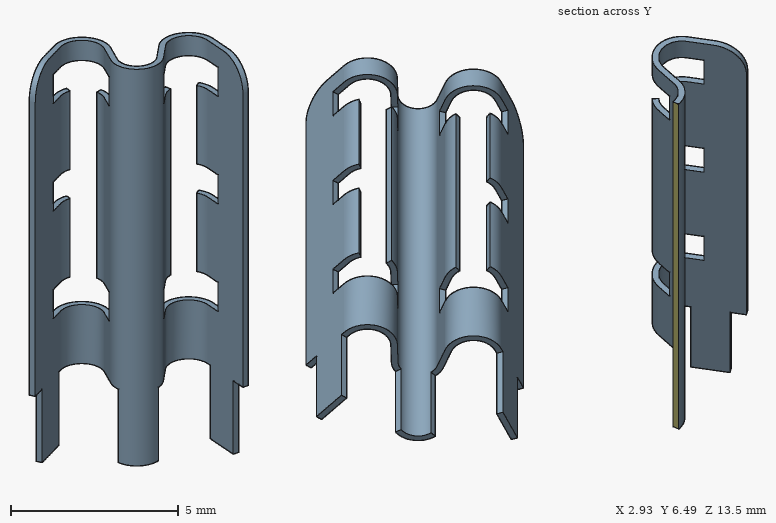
import cadquery as cq
import math

thickness = 0.2
leg_length = 1.82
link_length = 0.74
loop_radius = 0.8
middle_radius = 0.7
first_leg_heading = 140.0
loop_angle = 140.0
middle_angle = 160.0

height = 13.5
foot_height = 2.5
window_base = 4.51
slot_height = 0.99
tab_height = 2.67

foot_width = 1.2
foot_inset = 0.5
narrow_width = 0.97
slot_overhang = 0.53
corner_radius = 1.0

cutter_thickness = 2 * thickness


def arc_length(radius, angle):
    return radius * math.radians(angle)


loop_length = arc_length(loop_radius, loop_angle)
middle_length = arc_length(middle_radius, middle_angle)
slot_width = loop_length + 2 * slot_overhang

sections = [
    (leg_length, 0.0),
    (loop_length, -loop_angle),
    (link_length, 0.0),
    (middle_length, middle_angle),
    (link_length, 0.0),
    (loop_length, -loop_angle),
    (leg_length, 0.0),
]
section_ends = [sum(length for length, _ in sections[:n + 1]) for n in range(len(sections))]
strip_length = section_ends[-1]

first_loop_center = leg_length + loop_length / 2
middle_center = strip_length / 2
last_loop_center = strip_length - first_loop_center


def sheet_point(distance, offset):
    """XY point at a distance along the strip, offset to the left of its middle surface."""
    x, y = 0.0, 0.0
    heading = math.radians(first_leg_heading)
    remaining = distance
    for length, turn in sections:
        step = min(remaining, length)
        swing = math.radians(turn) * step / length
        chord = step
        if swing:
            chord = step * math.sin(swing / 2) / (swing / 2)
        x += chord * math.cos(heading + swing / 2)
        y += chord * math.sin(heading + swing / 2)
        heading += swing
        remaining -= step
    return x - offset * math.sin(heading), y + offset * math.cos(heading)


def follow_sheet(outline, stations, offset):
    """Extend an outline along one face of the sheet, with an arc between each pair of stations."""
    for start, end in zip(stations, stations[1:]):
        middle = (start + end) / 2
        is_bend = any(
            turn and section_end - length < middle < section_end
            for (length, turn), section_end in zip(sections, section_ends)
        )
        if is_bend:
            outline = outline.threePointArc(sheet_point(middle, offset), sheet_point(end, offset))
        else:
            outline = outline.lineTo(*sheet_point(end, offset))
    return outline


def folded_sheet(start, end, bottom, top, sheet_thickness=thickness):
    """Solid covering a rectangle of the flat strip after it is folded."""
    stations = [start] + [joint for joint in section_ends if start < joint < end] + [end]
    half = sheet_thickness / 2
    outline = cq.Workplane("XY").workplane(offset=bottom).moveTo(*sheet_point(start, half))
    outline = follow_sheet(outline, stations, half)
    outline = outline.lineTo(*sheet_point(end, -half))
    outline = follow_sheet(outline, stations[::-1], -half)
    return outline.close().extrude(top - bottom)


def centered_sheet(center, width, bottom, top, sheet_thickness=thickness):
    return folded_sheet(center - width / 2, center + width / 2, bottom, top, sheet_thickness)


def rounded_wall():
    wall = folded_sheet(0, strip_length, foot_height, height)
    for free_end in (0, strip_length):
        corner = (*sheet_point(free_end, 0), height)
        wall = wall.edges(cq.NearestToPointSelector(corner)).fillet(corner_radius)
    return wall


def cut_loop_window(body, center):
    """Tall narrow window over a loop, widened by slots at its base, middle and top.

    The middle slot widens the window only on the side of the free leg.
    """
    slot_pitch = slot_height + tab_height
    window_top = window_base + 2 * slot_pitch + slot_height
    body = body.cut(centered_sheet(center, narrow_width, window_base, window_top, cutter_thickness))
    for base in (window_base, window_base + 2 * slot_pitch):
        body = body.cut(centered_sheet(center, slot_width, base, base + slot_height, cutter_thickness))

    leg_side = -1 if center < middle_center else 1
    start, end = sorted((center, center + leg_side * slot_width / 2))
    base = window_base + slot_pitch
    return body.cut(folded_sheet(start, end, base, base + slot_height, cutter_thickness))


result = rounded_wall()

outer_foot_center = foot_inset + foot_width / 2
for foot_center in (outer_foot_center, middle_center, strip_length - outer_foot_center):
    result = result.union(centered_sheet(foot_center, foot_width, 0, foot_height + thickness))

for loop_center in (first_loop_center, last_loop_center):
    result = cut_loop_window(result, loop_center)